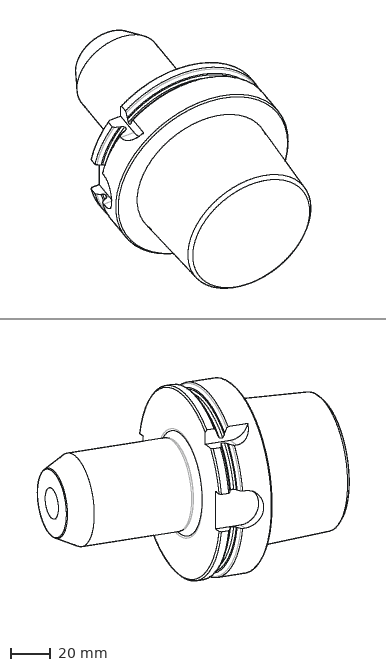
import cadquery as cq

total_length = 150.0
flange_front = 71.0
flange_back = 100.0
nose_length = 12.6
nose_edge = 0.5

nose_radius = 18.0
shank_radius = 24.0
flange_radius = 100.0 / 2
taper_base_radius = 38.1
taper_end_radius = 35.7
taper_edge = 1.8

relief_start = 66.8
relief_depth = 0.3
relief_fillet = 3.3
relief_ramp = 1.0

flange_chamfer = 0.9
groove_center = 79.8
groove_depth = 4.2
groove_steps = [(3.9, 0.0), (3.2, 0.6), (2.0, 2.4), (1.8, 3.2), (0.9, groove_depth)]

bore_diameter = 16.0
bore_depth = 48.0

slot_corner = 10.0
slot_end = 95.0
slot_floor = 43.8
front_slot_width = 2 * slot_corner
back_slot_width = 22.2
notch_offset = 31.4


def turned_body():
    """Revolve the nose, shank, grooved flange and taper about X."""
    relief_radius = shank_radius - relief_depth
    relief_face = flange_front + relief_depth
    fillet_start = relief_face - relief_fillet
    fillet_top = relief_radius + relief_fillet
    flange_shoulder = flange_radius - flange_chamfer
    groove_front_side = [(groove_center - half, flange_radius - depth) for half, depth in groove_steps]
    groove_back_side = [(groove_center + half, flange_radius - depth) for half, depth in reversed(groove_steps)]

    profile = (
        cq.Workplane("XY")
        .lineTo(0, nose_radius - nose_edge)
        .lineTo(nose_edge, nose_radius)
        .lineTo(nose_length, shank_radius)
        .lineTo(relief_start, shank_radius)
        .lineTo(relief_start + relief_ramp, relief_radius)
        .lineTo(fillet_start, relief_radius)
        .radiusArc((relief_face, fillet_top), -relief_fillet)
        .lineTo(flange_front, fillet_top + relief_ramp)
        .lineTo(flange_front, flange_shoulder)
        .lineTo(flange_front + flange_chamfer, flange_radius)
    )
    for point in groove_front_side + groove_back_side:
        profile = profile.lineTo(*point)
    profile = (
        profile.lineTo(flange_back - flange_chamfer, flange_radius)
        .lineTo(flange_back, flange_shoulder)
        .lineTo(flange_back, taper_base_radius)
        .lineTo(total_length - taper_edge, taper_end_radius)
        .lineTo(total_length, taper_end_radius - taper_edge)
        .lineTo(total_length, 0)
        .close()
    )
    return profile.revolve(360, (0, 0, 0), (1, 0, 0))


def tool_bore():
    return cq.Workplane("YZ").circle(bore_diameter / 2).extrude(bore_depth)


def drive_slot(width, side):
    """Slot open at the flange face; side is -1 for -Y and +1 for +Y."""
    half = width / 2
    arc_start = slot_end - slot_corner
    end_flat = half - slot_corner
    outline = (
        cq.Workplane("XZ", origin=(0, side * slot_floor, 0))
        .moveTo(flange_front, -half)
        .lineTo(arc_start, -half)
        .radiusArc((slot_end, -end_flat), -slot_corner)
    )
    if end_flat > 0:
        outline = outline.lineTo(slot_end, end_flat)
    outline = outline.radiusArc((arc_start, half), -slot_corner).lineTo(flange_front, half).close()
    return outline.extrude(-side * (flange_radius - slot_floor))


def orientation_notch():
    """Corner notch at -Y, +Z whose floor rises in an arc at its end."""
    arc_start = slot_end - slot_corner
    top = notch_offset + slot_corner
    return (
        cq.Workplane("XZ", origin=(0, -notch_offset, 0))
        .moveTo(flange_front, notch_offset)
        .lineTo(arc_start, notch_offset)
        .radiusArc((slot_end, top), -slot_corner)
        .lineTo(flange_front, top)
        .close()
        .extrude(flange_radius - notch_offset)
    )


result = (
    turned_body()
    .cut(tool_bore())
    .cut(drive_slot(front_slot_width, -1))
    .cut(drive_slot(back_slot_width, 1))
    .cut(orientation_notch())
)